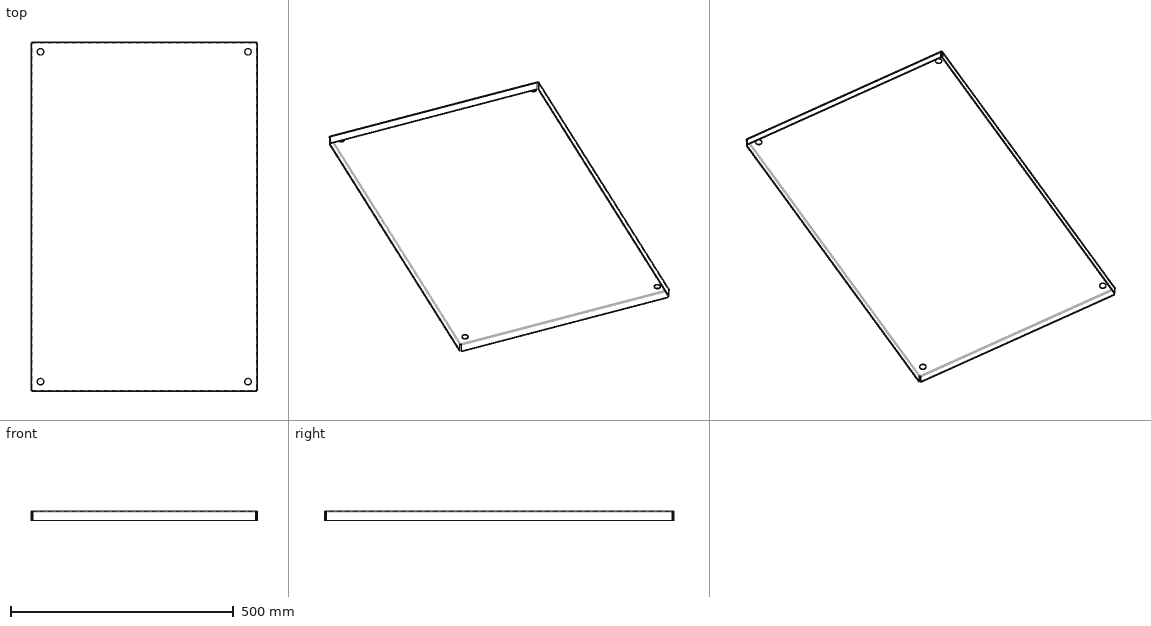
import cadquery as cq

width = 508.0
length = 784.0
height = 22.0

sheet = 2.05
bend_radius = 2.5
wall_end_inset = 4.0

hole_diameter = 14.0
hole_spacing_x = 466.0
hole_spacing_y = 740.5

flat_width = width - 2 * bend_radius
flat_length = length - 2 * bend_radius


def flange(fold_length, wall_length, reach):
    """Quarter-round fold and upright wall on the +X side, outer face at 'reach'."""
    inner_radius = bend_radius - sheet
    fold_x = reach - bend_radius
    fold_z = height - bend_radius
    fold = (
        cq.Workplane("XZ")
        .moveTo(fold_x, height)
        .radiusArc((reach, fold_z), bend_radius)
        .lineTo(reach - sheet, fold_z)
        .radiusArc((fold_x, height - sheet), -inner_radius)
        .close()
        .extrude(fold_length / 2, both=True)
    )
    wall = cq.Workplane("XY").box(sheet, wall_length, fold_z, centered=(True, True, False))
    return fold.union(wall.translate((reach - sheet / 2, 0, 0)))


result = (
    cq.Workplane("XY")
    .workplane(offset=height - sheet)
    .rect(flat_width, flat_length)
    .extrude(sheet)
)

side_flange = flange(flat_length, length - 2 * wall_end_inset, width / 2)
end_flange = flange(flat_width, width - 2 * wall_end_inset, length / 2).rotate((0, 0, 0), (0, 0, 1), 90)
for folded_side in (side_flange, end_flange):
    opposite_side = folded_side.rotate((0, 0, 0), (0, 0, 1), 180)
    result = result.union(folded_side).union(opposite_side)

hole_cutters = (
    cq.Workplane("XY")
    .rect(hole_spacing_x, hole_spacing_y, forConstruction=True)
    .vertices()
    .circle(hole_diameter / 2)
    .extrude(height)
)
result = result.cut(hole_cutters)